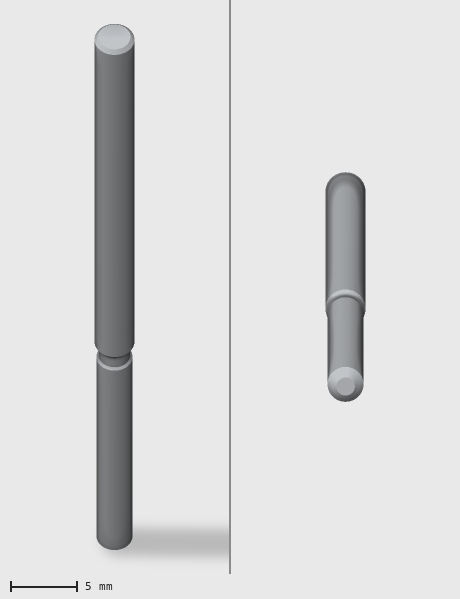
import cadquery as cq

total_length = 60.0
shank_diameter = 3.0
pin_diameter = 2.7
neck_diameter = 2.34
tip_diameter = 1.4
shank_bottom = 23.25
shank_top_chamfer = 0.3
shank_bottom_taper_height = 0.55
pin_shoulder = 22.2
pin_shoulder_chamfer_height = 0.2
tip_taper_height = 0.68

shank_radius = shank_diameter / 2
pin_radius = pin_diameter / 2
neck_radius = neck_diameter / 2
tip_radius = tip_diameter / 2


def revolve_profile(points):
    """Turn a closed (radius, height) outline once around Z, starting from the -Y side."""
    outline = [(-radius, height) for radius, height in points]
    return cq.Workplane("YZ").polyline(outline).close().revolve(360, (0, 0, 0), (0, 1, 0))


def make_shank():
    """Upper rod, chamfered on top and tapered down to the neck diameter below."""
    return revolve_profile([
        (0, shank_bottom),
        (neck_radius, shank_bottom),
        (shank_radius, shank_bottom + shank_bottom_taper_height),
        (shank_radius, total_length - shank_top_chamfer),
        (shank_radius - shank_top_chamfer, total_length),
        (0, total_length),
    ])


def make_pin():
    """Lower pin with a tapered tip and a neck that meets the end face of the shank."""
    return revolve_profile([
        (0, 0),
        (tip_radius, 0),
        (pin_radius, tip_taper_height),
        (pin_radius, pin_shoulder - pin_shoulder_chamfer_height),
        (neck_radius, pin_shoulder),
        (neck_radius, shank_bottom),
        (0, shank_bottom),
    ])


shank = make_shank()
pin = make_pin()

result = cq.Compound.makeCompound([shank.val(), pin.val()])